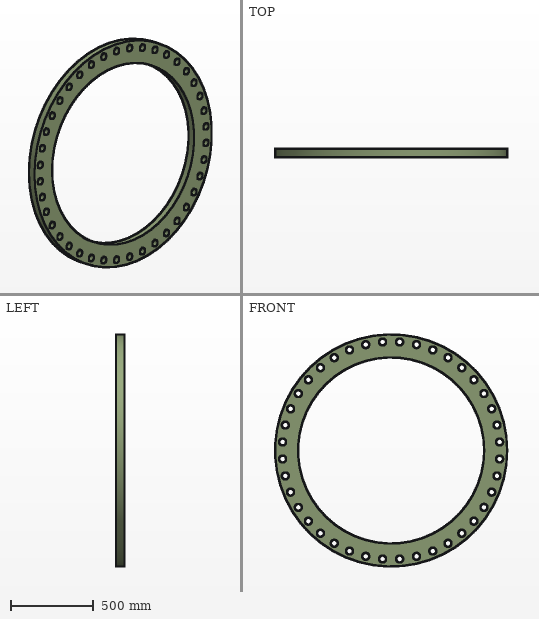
import cadquery as cq

outer_diameter = 1403.0
bore_diameter = 1123.0
thickness = 53.0

bolt_circle_diameter = 1315.0
bolt_hole_diameter = 40.0
bolt_count = 40
first_bolt_angle = 360 / bolt_count / 2


def make_ring():
    """Plain ring with its rear face on the XZ plane."""
    return (
        cq.Workplane("XZ")
        .circle(outer_diameter / 2)
        .circle(bore_diameter / 2)
        .extrude(thickness)
    )


def make_bolt_holes():
    """Cylinders that cut the bolt holes right through the ring."""
    return (
        cq.Workplane("XZ")
        .polarArray(bolt_circle_diameter / 2, first_bolt_angle, 360, bolt_count)
        .circle(bolt_hole_diameter / 2)
        .extrude(thickness)
    )


result = make_ring().cut(make_bolt_holes())